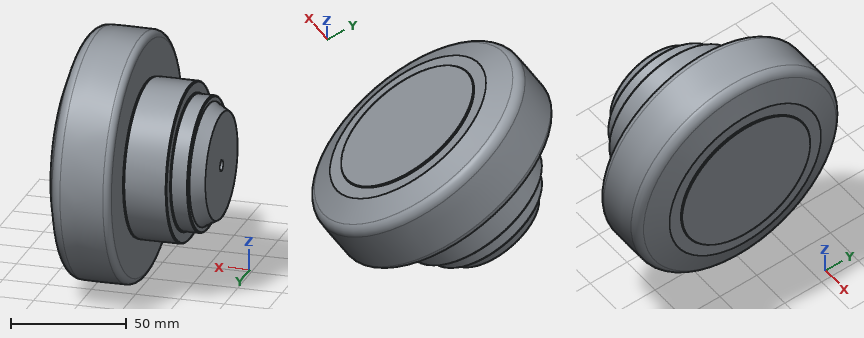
import math

import cadquery as cq

length = 65.5
nose_length = 6.0
pilot_end = 14.0
shank_end = 33.5
flange_front = 33.8
flange_back = 64.75

flange_radius = 111.36 / 2
shank_radius = 71.0 / 2
neck_radius = 70.5 / 2
pilot_radius = 60.0 / 2
nose_face_radius = 24.0
back_boss_radius = 70.0 / 2

nose_angle = math.radians(30)
edge_chamfer = 0.5
back_chamfer = 0.25
front_fillet = 3.0
back_fillet = 5.0
back_cone_angle = math.radians(20)
back_fillet_centre_x = 56.0

crown_arc_radius = 500.0
crown_x = 46.4

hole_diameter = 4.92
hole_depth = 10.0


def front_outline(sketch):
    """Nose, pilot, shank and neck, from the axis out to the front of the flange."""
    nose_base_radius = nose_face_radius + nose_length * math.tan(nose_angle)
    return (
        sketch.lineTo(0, nose_face_radius)
        .lineTo(nose_length, nose_base_radius)
        .lineTo(nose_length, pilot_radius - edge_chamfer)
        .lineTo(nose_length + edge_chamfer, pilot_radius)
        .lineTo(pilot_end - edge_chamfer, pilot_radius)
        .lineTo(pilot_end, pilot_radius + edge_chamfer)
        .lineTo(pilot_end, shank_radius - edge_chamfer)
        .lineTo(pilot_end + edge_chamfer, shank_radius)
        .lineTo(shank_end - edge_chamfer, shank_radius)
        .lineTo(shank_end, shank_radius - edge_chamfer)
        .lineTo(shank_end, neck_radius)
        .lineTo(flange_front, neck_radius)
    )


def point_on_arc(centre, radius, angle):
    """Point on a profile arc, with the angle measured from the radial direction toward +X."""
    return (centre[0] + radius * math.sin(angle), centre[1] + radius * math.cos(angle))


def flange_outline(sketch):
    """Slightly crowned rim with tangent fillets, followed by a cone tangent to the back fillet."""
    crown_centre = (crown_x, flange_radius - crown_arc_radius)

    front_centre_x = flange_front + front_fillet
    front_reach = crown_arc_radius - front_fillet
    crown_start_angle = math.asin((front_centre_x - crown_x) / front_reach)
    front_centre = point_on_arc(crown_centre, front_reach, crown_start_angle)
    front_mid_angle = (crown_start_angle - math.pi / 2) / 2

    back_reach = crown_arc_radius - back_fillet
    crown_end_angle = math.asin((back_fillet_centre_x - crown_x) / back_reach)
    back_centre = point_on_arc(crown_centre, back_reach, crown_end_angle)
    cone_start_angle = math.pi / 2 - back_cone_angle
    back_mid_angle = (crown_end_angle + cone_start_angle) / 2

    cone_start = point_on_arc(back_centre, back_fillet, cone_start_angle)
    cone_drop = (flange_back - cone_start[0]) / math.tan(back_cone_angle)
    return (
        sketch.lineTo(flange_front, front_centre[1])
        .threePointArc(
            point_on_arc(front_centre, front_fillet, front_mid_angle),
            point_on_arc(crown_centre, crown_arc_radius, crown_start_angle),
        )
        .threePointArc(
            (crown_x, flange_radius),
            point_on_arc(crown_centre, crown_arc_radius, crown_end_angle),
        )
        .threePointArc(point_on_arc(back_centre, back_fillet, back_mid_angle), cone_start)
        .lineTo(flange_back, cone_start[1] - cone_drop)
    )


def back_boss_outline(sketch):
    """Low chamfered boss on the back face, closed down to the axis."""
    return (
        sketch.lineTo(flange_back, back_boss_radius)
        .lineTo(length - back_chamfer, back_boss_radius)
        .lineTo(length, back_boss_radius - back_chamfer)
        .lineTo(length, 0)
    )


def turned_body():
    outline = cq.Workplane("XY").moveTo(0, 0)
    outline = front_outline(outline)
    outline = flange_outline(outline)
    outline = back_boss_outline(outline)
    return outline.close().revolve(360, (0, 0, 0), (1, 0, 0))


def centre_hole():
    return cq.Workplane("YZ").circle(hole_diameter / 2).extrude(hole_depth)


result = turned_body().cut(centre_hole())